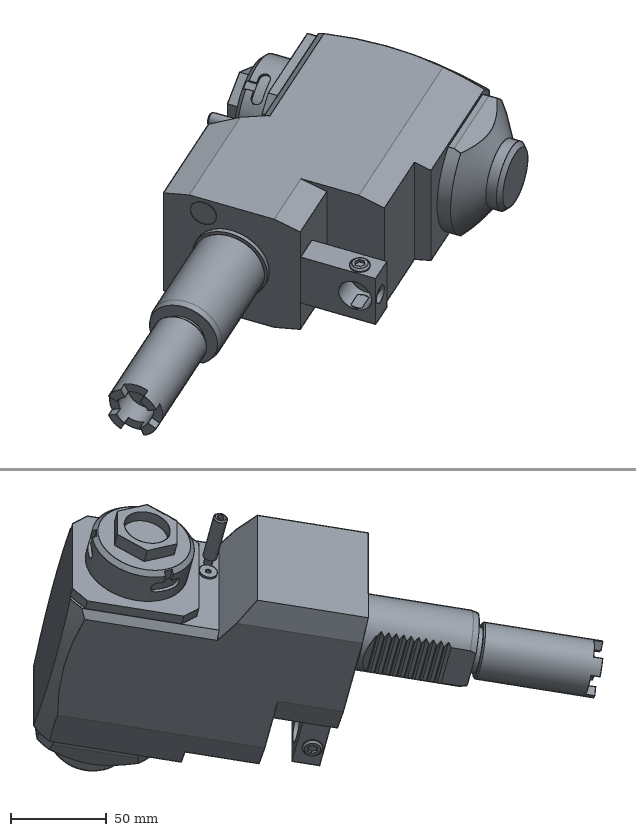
import cadquery as cq
import math


body_back = 153.8
half_height = 37.5
mount_half_width = 39.0
mount_right_end = 35.0
shoulder_x = 71.5
head_front = 74.5
head_left = -14.8
head_right = 81.0
notch_left_y = 59.0
notch_x = -10.5
back_corner = 2.5
mount_bevel_width = 14.8
mount_bevel_drop = 3.7
head_left_bevel_width = 4.3
head_left_bevel_drop = 3.5
head_right_bevel_width = 24.0
head_right_bevel_drop = 6.3
back_cone_x = 24.0
back_cone_radius = 149.2

collar_radius = 21.3
collar_end = -2.5
shank_radius = 20.2
shank_end_radius = 19.3
shank_chamfer_start = -60.0
shank_end = -63.5
neck_radius = 12.2
neck_end = -66.8
coupling_radius = 15.0
coupling_edge = 0.9
claw_base = -125.5
claw_end = -130.5
claw_bore_radius = 10.0
claw_bore_depth = 17
claw_slot_angle = 52
claw_slot_count = 4

rack_flat_z = -16.0
rack_flat_start = -10.0
tooth_pitch = 4.0
groove_count = 10
groove_first_y = -12.2
groove_half_width = 1.7
groove_depth = 1.7

plug_x = -16.2
plug_z = 27.5
plug_radius = 7.5
plug_depth = 0.3

spindle_y = 119.7
plate_left = -20.2
plate_front = 86.5
plate_half_height = 33.8
plate_corner = 8.0
nut_radius = 27.3
nut_left = -39.8
nut_chamfer = 2.5
hex_left = -47.5
hex_across_flats = 31.8
hex_bore_radius = 12.2
hex_bore_depth = 6.3
key_slot_count = 3
key_slot_first_angle = 29
key_slot_length = 17.5
key_slot_depth = 2.0
key_slot_x = -29.8
key_slot_width = 6.3
key_entry_width = 4.8

pin_y = 80.5
pin_z = 17.5
pin_radius = 3.7
pin_chamfer = 0.9
pin_bore_radius = 1.7
pin_bore_depth = 2.8
pin_neck_radius = 2.3
pin_neck_left = -20
nozzle_z = 10.2
nozzle_radius = 4.8
nozzle_height = 1.0
nozzle_hole_radius = 1.5

cap_radius = 37.2
cap_cone_start = 88.7
cap_cone_end = 101.0
cap_nose_radius = 19.0
cap_end = 109.5
cap_end_chamfer = 2.5
cap_back_flat = 149.8
cap_flat_z = 29.5
cap_slope_start = 84.5
cap_slope_end = 101.0
cap_slope_end_z = 26.2

arm_right = 81.5
arm_front = 0.5
arm_back = 15.3
arm_half_height = 16.0
arm_hole_x = 70.0
arm_hole_radius = 9.5
arm_side_hole_radius = 5.0
screw_y = 6.8
screw_radius = 5.5
screw_inner_z = 8.8
screw_outer_z = 17.5
screw_chamfer = 1.0
screw_socket_across_corners = 5.7
screw_socket_depth = 2.8


def box(x0, x1, y0, y1, z0, z1):
    """Axis-aligned block between two opposite corners."""
    return cq.Workplane("XY").box(x1 - x0, y1 - y0, z1 - z0, centered=False).translate((x0, y0, z0))


def rod_x(x0, x1, radius, y, z):
    """Cylinder along X."""
    return cq.Workplane("YZ", origin=(x0, y, z)).circle(radius).extrude(x1 - x0)


def turned_x(points):
    """Solid turned about the cross spindle from (x, radius) points."""
    profile = cq.Workplane("XY", origin=(0, spindle_y, 0)).polyline(points).close()
    return profile.revolve(360, (0, 0, 0), (1, 0, 0))


def bevel(x_side, x_inner, drop, y0, y1):
    """Wedges that slope the top and bottom faces down toward one side."""
    top = (
        cq.Workplane("XZ", origin=(0, y0, 0))
        .moveTo(x_inner, half_height)
        .lineTo(x_side, half_height)
        .lineTo(x_side, half_height - drop)
        .close()
        .extrude(y0 - y1)
    )
    return top.union(top.mirror("XY"))


def make_body():
    body = (
        cq.Workplane("XY", origin=(0, 0, -half_height))
        .moveTo(-mount_half_width, 0)
        .lineTo(mount_half_width, 0)
        .lineTo(mount_half_width, mount_right_end)
        .lineTo(shoulder_x, mount_right_end)
        .lineTo(shoulder_x, head_front)
        .lineTo(head_right, head_front)
        .lineTo(head_right, body_back - back_corner)
        .lineTo(head_right - back_corner, body_back)
        .lineTo(head_left, body_back)
        .lineTo(head_left, head_front)
        .lineTo(notch_x, head_front)
        .lineTo(-mount_half_width, notch_left_y)
        .close()
        .extrude(2 * half_height)
    )
    mount_inner = mount_half_width - mount_bevel_width
    body = body.cut(bevel(-mount_half_width, -mount_inner, mount_bevel_drop, 0, head_front))
    body = body.cut(bevel(mount_half_width, mount_inner, mount_bevel_drop, 0, mount_right_end))
    head_left_inner = head_left + head_left_bevel_width
    body = body.cut(bevel(head_left, head_left_inner, head_left_bevel_drop, head_front, body_back))
    head_right_inner = head_right - head_right_bevel_width
    body = body.cut(bevel(head_right, head_right_inner, head_right_bevel_drop, mount_right_end, body_back))

    back_cones = (
        cq.Workplane("XZ", origin=(back_cone_x, 0, 0))
        .moveTo(0, -half_height)
        .lineTo(back_cone_radius, -half_height)
        .lineTo(back_cone_radius + half_height, 0)
        .lineTo(back_cone_radius, half_height)
        .lineTo(0, half_height)
        .close()
        .revolve(360, (0, 0, 0), (0, 1, 0))
    )
    plug_recess = cq.Workplane("XZ", origin=(plug_x, 0, plug_z)).circle(plug_radius).extrude(-plug_depth)
    return body.intersect(back_cones).cut(plug_recess)


def make_shank():
    shoulder = shank_radius - shank_end_radius
    collar_root = 2.8
    outline = [
        (0, collar_root),
        (collar_radius, collar_root),
        (collar_radius, collar_end),
        (shank_end_radius, collar_end),
        (shank_radius, collar_end - shoulder),
        (shank_radius, shank_chamfer_start),
        (shank_end_radius, shank_end),
        (neck_radius, shank_end),
        (neck_radius, neck_end),
        (coupling_radius - coupling_edge, neck_end),
        (coupling_radius, neck_end - coupling_edge),
        (coupling_radius, claw_end),
        (0, claw_end),
    ]
    shank = cq.Workplane("XY").polyline(outline).close().revolve(360, (0, 0, 0), (0, 1, 0))
    bore = cq.Workplane("XZ", origin=(0, claw_end, 0)).circle(claw_bore_radius).extrude(-claw_bore_depth)
    shank = shank.cut(bore)

    reach = 2 * coupling_radius
    half_slot = math.radians(claw_slot_angle / 2)
    slot_x = reach * math.cos(half_slot)
    slot_z = reach * math.sin(half_slot)
    slot = (
        cq.Workplane("XZ", origin=(0, claw_end, 0))
        .polyline([(0, 0), (slot_x, slot_z), (slot_x, -slot_z)])
        .close()
        .extrude(claw_end - claw_base)
    )
    for i in range(claw_slot_count):
        shank = shank.cut(slot.rotate((0, 0, 0), (0, 1, 0), i * 360 / claw_slot_count))
    return shank.cut(make_rack_cutter())


def make_rack_cutter():
    """Flat with a 45 degree run-out toward the collar, plus the tooth grooves."""
    drop = collar_radius + rack_flat_z
    cutter = (
        cq.Workplane("YZ", origin=(-collar_radius, 0, 0))
        .moveTo(shank_end, rack_flat_z)
        .lineTo(rack_flat_start, rack_flat_z)
        .lineTo(rack_flat_start + drop, rack_flat_z - drop)
        .lineTo(shank_end, rack_flat_z - drop)
        .close()
        .extrude(2 * collar_radius)
    )
    for i in range(groove_count):
        groove_y = groove_first_y - i * tooth_pitch
        groove = (
            cq.Workplane("YZ", origin=(-collar_radius, groove_y, rack_flat_z))
            .polyline([(-groove_half_width, 0), (0, groove_depth), (groove_half_width, 0)])
            .close()
            .extrude(2 * collar_radius)
        )
        cutter = cutter.union(groove)
    return cutter


def make_plate():
    plate = box(plate_left, head_left, plate_front, body_back, -plate_half_height, plate_half_height)
    return plate.edges("|X").chamfer(plate_corner)


def make_nut():
    nut = turned_x([
        (plate_left, 0),
        (plate_left, nut_radius),
        (nut_left + nut_chamfer, nut_radius),
        (nut_left, nut_radius - nut_chamfer),
        (nut_left, 0),
    ])
    floor_radius = nut_radius - key_slot_depth
    slot = (
        cq.Workplane("XY", origin=(key_slot_x, spindle_y, 0))
        .slot2D(key_slot_length, key_slot_width, 90)
        .extrude(nut_radius)
        .cut(rod_x(nut_left, plate_left, floor_radius, spindle_y, 0))
    )
    entry = box(
        nut_left, key_slot_x,
        spindle_y - key_entry_width / 2, spindle_y + key_entry_width / 2,
        floor_radius, nut_radius,
    )
    slot = slot.union(entry)
    for i in range(key_slot_count):
        angle = key_slot_first_angle + i * 360 / key_slot_count
        nut = nut.cut(slot.rotate((0, spindle_y, 0), (1, spindle_y, 0), angle))

    hexagon = (
        cq.Workplane("YZ", origin=(hex_left, spindle_y, 0))
        .polygon(6, hex_across_flats / math.cos(math.pi / 6))
        .extrude(nut_left - hex_left)
        .rotate((0, spindle_y, 0), (1, spindle_y, 0), 90)
    )
    return nut.union(hexagon).cut(rod_x(hex_left, hex_left + hex_bore_depth, hex_bore_radius, spindle_y, 0))


def make_pin():
    pin = rod_x(hex_left, pin_neck_left, pin_radius, pin_y, pin_z).faces("<X").chamfer(pin_chamfer)
    pin = pin.cut(rod_x(hex_left, hex_left + pin_bore_depth, pin_bore_radius, pin_y, pin_z))
    return pin.union(rod_x(pin_neck_left, head_left, pin_neck_radius, pin_y, pin_z))


def make_nozzle():
    nozzle_left = head_left - nozzle_height
    nozzle = rod_x(nozzle_left, head_left, nozzle_radius, pin_y, nozzle_z)
    return nozzle.cut(rod_x(nozzle_left, head_left, nozzle_hole_radius, pin_y, nozzle_z))


def make_cap():
    cap = turned_x([
        (head_right, 0),
        (head_right, cap_radius),
        (cap_cone_start, cap_radius),
        (cap_cone_end, cap_nose_radius),
        (cap_end - cap_end_chamfer, cap_nose_radius),
        (cap_end, cap_nose_radius - cap_end_chamfer),
        (cap_end, 0),
    ])
    envelope = (
        cq.Workplane("XZ", origin=(0, cap_back_flat, 0))
        .moveTo(head_right, -cap_flat_z)
        .lineTo(cap_slope_start, -cap_flat_z)
        .lineTo(cap_slope_end, -cap_slope_end_z)
        .lineTo(cap_end, -cap_slope_end_z)
        .lineTo(cap_end, cap_slope_end_z)
        .lineTo(cap_slope_end, cap_slope_end_z)
        .lineTo(cap_slope_start, cap_flat_z)
        .lineTo(head_right, cap_flat_z)
        .close()
        .extrude(2 * cap_radius)
    )
    return cap.intersect(envelope)


def make_arm():
    arm = box(mount_half_width, arm_right, arm_front, arm_back, -arm_half_height, arm_half_height)
    screw = (
        cq.Workplane("XY", origin=(arm_hole_x, screw_y, screw_inner_z))
        .circle(screw_radius)
        .extrude(screw_outer_z - screw_inner_z)
        .faces(">Z")
        .chamfer(screw_chamfer)
        .faces(">Z")
        .workplane()
        .polygon(6, screw_socket_across_corners)
        .cutBlind(-screw_socket_depth)
    )
    clamp_hole = (
        cq.Workplane("XZ", origin=(arm_hole_x, arm_front, 0))
        .circle(arm_hole_radius)
        .extrude(arm_front - arm_back)
    )
    side_hole = rod_x(arm_hole_x, arm_right, arm_side_hole_radius, screw_y, 0)
    arm = arm.cut(clamp_hole).cut(side_hole)
    return arm.union(screw).union(screw.mirror("XY"))


result = (
    make_body()
    .union(make_shank())
    .union(make_plate())
    .union(make_nut())
    .union(make_pin())
    .union(make_nozzle())
    .union(make_cap())
    .union(make_arm())
)